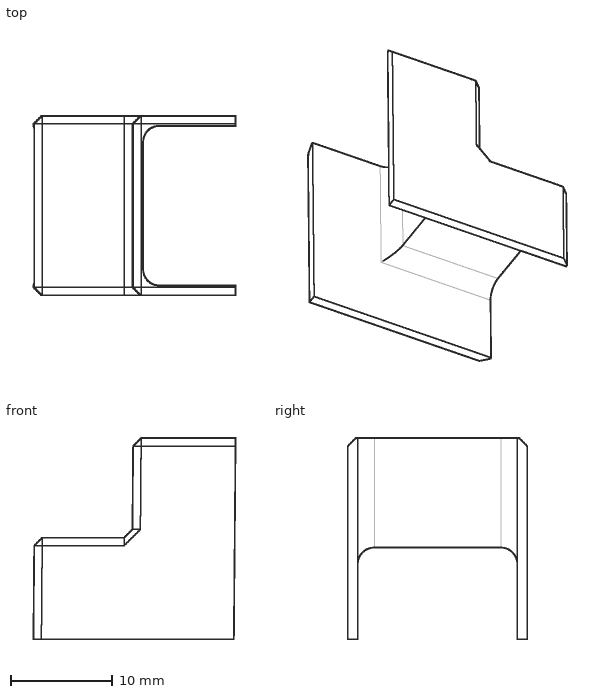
import cadquery as cq
import math

length = 20.0
width = 17.75
height = 19.9

lean_angle = 0.5
step_height = 10.07
leg_depth = 10.15
wall = 1.0
chamfer = 0.8
inner_radius = 1.6

lean = math.tan(math.radians(lean_angle))
base_length = length - height * lean
riser = base_length - leg_depth
half_width = width / 2


def leaning_point(x, z):
    """Point of the side profile, given its X at the base and its height."""
    return (x + z * lean, z)


def leaning_block(start, top, block_width):
    """Block from start to the +X end, with leaning upright ends."""
    corners = [
        leaning_point(start, 0),
        leaning_point(base_length, 0),
        leaning_point(base_length, top),
        leaning_point(start, top),
    ]
    return cq.Workplane("XZ").polyline(corners).close().extrude(block_width / 2, both=True)


def chamfered_leg(start, top):
    """Solid leg with its outer edges chamfered; bottom and +X edges stay sharp."""
    block = leaning_block(start, top, width)
    front_edges = block.faces("<X").edges("not <Z")
    top_side_edges = block.faces(">Z").edges("|X")
    return front_edges.add(top_side_edges).chamfer(chamfer)


def step_corner():
    """Sloping fill in the inside corner of the step, narrowing to larger end triangles."""
    def triangle(inset):
        inset_x = inset / math.cos(math.radians(lean_angle))
        return [
            leaning_point(riser - chamfer, step_height - inset),
            leaning_point(riser + inset_x, step_height - inset),
            leaning_point(riser + inset_x, step_height + chamfer),
        ]

    straight_half = half_width - chamfer
    fill = cq.Workplane("XZ").polyline(triangle(0)).close().extrude(straight_half, both=True)
    for direction in (-1, 1):
        end = (
            cq.Workplane("XZ", origin=(0, direction * straight_half, 0))
            .polyline(triangle(0)).close()
            .workplane(offset=-direction * chamfer)
            .polyline(triangle(chamfer)).close()
            .loft(ruled=True)
        )
        fill = fill.union(end)
    return fill


def channels():
    """Two rounded channels: one open at -X and below, one open at +Z and +X."""
    inner_width = width - 2 * wall
    lower = leaning_block(0, step_height - wall, inner_width)
    lower = lower.faces(">Z").edges("|X").fillet(inner_radius)
    upper = leaning_block(riser + wall, height, inner_width)
    upper = upper.faces("<X").edges("not |Y").fillet(inner_radius)
    return lower.union(upper)


outer = chamfered_leg(0, step_height).union(chamfered_leg(riser, height)).union(step_corner())
result = outer.cut(channels()).clean()